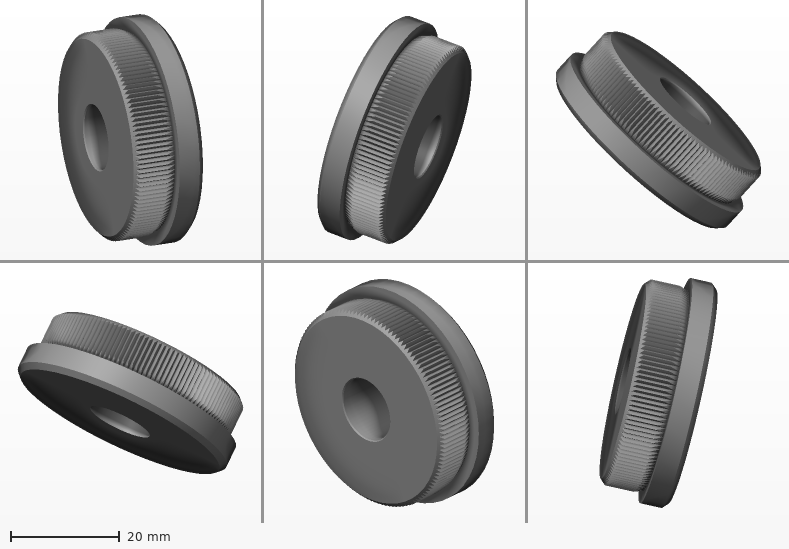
import cadquery as cq
import math

flange_radius = 21.2
flange_thickness = 5.0
rim_chamfer = 1.0

total_depth = 13.0
tooth_count = 130
tooth_tip_radius = 19.38
tooth_root_radius = 18.7
hub_chamfer = 1.0
neck_radius = 18.8
neck_taper_length = 1.65

bore_radius = 6.05
bore_chamfer = 0.2

flange_rear = flange_thickness
hub_front = flange_thickness - total_depth
hub_length = -hub_front


def revolve_about_y(points):
    """Turn a closed (radius, y) outline a full circle around the Y axis."""
    return cq.Workplane("XY").polyline(points).close().revolve(360, (0, 0, 0), (0, 1, 0))


def make_flange():
    return revolve_about_y([
        (0, 0),
        (flange_radius, 0),
        (flange_radius, flange_rear - rim_chamfer),
        (flange_radius - rim_chamfer, flange_rear),
        (0, flange_rear),
    ])


def make_tooth_ring():
    """Straight toothed cylinder, with a tooth gap at the top and at the bottom."""
    half_pitch = math.pi / tooth_count
    points = []
    for step in range(2 * tooth_count):
        radius = tooth_tip_radius if step % 2 else tooth_root_radius
        angle = math.pi / 2 + step * half_pitch
        points.append((radius * math.cos(angle), radius * math.sin(angle)))
    return cq.Workplane("XZ").polyline(points).close().extrude(hub_length)


def make_hub_envelope():
    """Turned shape that chamfers the tooth fronts and tapers them toward the flange."""
    return revolve_about_y([
        (0, 0),
        (neck_radius, 0),
        (tooth_tip_radius, -neck_taper_length),
        (tooth_tip_radius, hub_front + hub_chamfer),
        (tooth_tip_radius - hub_chamfer, hub_front),
        (0, hub_front),
    ])


def make_bore():
    """Through hole with a small chamfer at the hub face."""
    return revolve_about_y([
        (0, hub_front),
        (bore_radius + bore_chamfer, hub_front),
        (bore_radius, hub_front + bore_chamfer),
        (bore_radius, flange_rear),
        (0, flange_rear),
    ])


hub = make_tooth_ring().intersect(make_hub_envelope())
result = make_flange().union(hub).cut(make_bore())